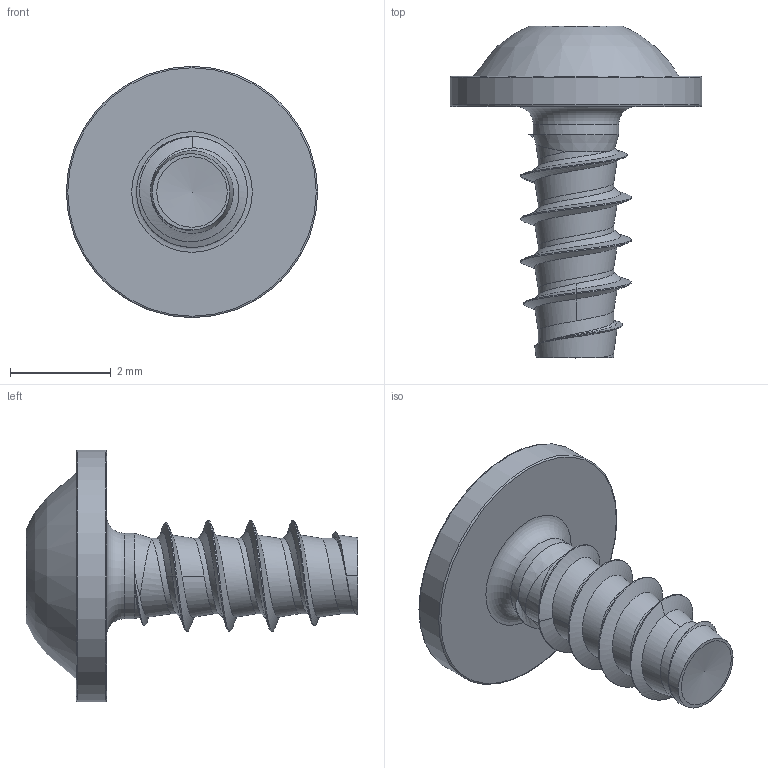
import cadquery as cq
import math

FLANGE_RADIUS = 2.5
FLANGE_THICKNESS = 0.6
FLANGE_EDGE_FILLET = 0.03
DOME_HEIGHT = 1.0
DOME_BASE_RADIUS = 2.05
DOME_TOP_RADIUS = 0.93
DOME_RADIUS = 2.35

SHANK_LENGTH = 5.0
COLLAR_RADIUS = 0.85
COLLAR_LENGTH = 0.56
NECK_FILLET = 0.35
CORE_RADIUS = 0.75
COLLAR_TAPER_LENGTH = 0.34
TIP_RECESS_RADIUS = 0.70
TIP_RECESS_DEPTH = 0.06

PITCH = 0.846
CREST_START_DEPTH = 0.54
CREST_RADIUS = 1.1
CREST_HALF_WIDTH = 0.012
KINK_RADIUS = 0.89
KINK_OFFSET = 0.075
HEAD_FOOT_OFFSET = 0.19
TIP_FOOT_OFFSET = 0.115
TIP_FOOT_RADIUS = 0.82
ROOT_TAPER_END = 0.55
BURIED_DEPTH = 0.01
STRETCH_STEPS = 24

FADE_IN_START = -0.75
FULL_HEIGHT_START = 1.0
FULL_HEIGHT_END = 3.75
FADE_OUT_END = 5.0
LAST_TURN = 5.25
SMALLEST_HEIGHT = 0.03

MIDDLE_TURN = (FULL_HEIGHT_START + FULL_HEIGHT_END) / 2
STRETCH_ENDS = [
    FADE_IN_START,
    FULL_HEIGHT_START,
    MIDDLE_TURN,
    FULL_HEIGHT_END,
    FADE_OUT_END,
    LAST_TURN,
]


def revolve_about_axis(profile):
    """Close a half section and turn it about the screw axis."""
    return profile.close().revolve(360, (0, 0, 0), (0, 1, 0))


def head():
    """Domed head with a flat top, standing on a round flange."""
    flange = cq.Workplane("XZ").circle(FLANGE_RADIUS).extrude(-FLANGE_THICKNESS)
    flange = flange.edges().fillet(FLANGE_EDGE_FILLET)

    top = FLANGE_THICKNESS + DOME_HEIGHT
    dome = cq.Workplane("XY").lineTo(DOME_BASE_RADIUS, 0).lineTo(DOME_BASE_RADIUS, FLANGE_THICKNESS)
    dome = dome.radiusArc((DOME_TOP_RADIUS, top), -DOME_RADIUS).lineTo(0, top)
    return flange.union(revolve_about_axis(dome))


def shank():
    """Collar with a neck fillet, a short taper and the core down to the recessed tip."""
    neck_radius = COLLAR_RADIUS + NECK_FILLET
    profile = (
        cq.Workplane("XY")
        .moveTo(0, FLANGE_THICKNESS / 2)
        .lineTo(neck_radius, FLANGE_THICKNESS / 2)
        .lineTo(neck_radius, 0)
        .radiusArc((COLLAR_RADIUS, -NECK_FILLET), -NECK_FILLET)
        .lineTo(COLLAR_RADIUS, -COLLAR_LENGTH)
        .lineTo(CORE_RADIUS, -COLLAR_LENGTH - COLLAR_TAPER_LENGTH)
        .lineTo(CORE_RADIUS, -SHANK_LENGTH)
        .lineTo(0, -SHANK_LENGTH)
    )
    return revolve_about_axis(profile)


def tip_recess():
    """Shallow cone sunk into the tip."""
    profile = (
        cq.Workplane("XY")
        .moveTo(0, -SHANK_LENGTH)
        .lineTo(TIP_RECESS_RADIUS, -SHANK_LENGTH)
        .lineTo(0, -SHANK_LENGTH + TIP_RECESS_DEPTH)
    )
    return revolve_about_axis(profile)


def thread_height(turn):
    """Fraction of the full ridge height: it fades in at the collar and out near the tip."""
    fade_in = (turn - FADE_IN_START) / (FULL_HEIGHT_START - FADE_IN_START)
    fade_out = (FADE_OUT_END - turn) / (FADE_OUT_END - FULL_HEIGHT_END)
    return max(SMALLEST_HEIGHT, min(1.0, fade_in, fade_out))


def root_height(turn):
    """Fraction of the full root height: the tapered root fades out over the last stretch."""
    return min(1.0, (LAST_TURN - turn) / (LAST_TURN - FADE_OUT_END))


def thread_corners(turn):
    """Corners of the thread section as (radius, offset from the crest towards the tip)."""
    height = thread_height(turn)
    buried_radius = CORE_RADIUS - BURIED_DEPTH
    kink_radius = CORE_RADIUS + (KINK_RADIUS - CORE_RADIUS) * height
    foot_radius = CORE_RADIUS + (TIP_FOOT_RADIUS - CORE_RADIUS) * root_height(turn)
    crest_radius = foot_radius + (CREST_RADIUS - foot_radius) * height
    taper_slope = (ROOT_TAPER_END - TIP_FOOT_OFFSET) / (TIP_FOOT_RADIUS - CORE_RADIUS)
    return [
        (buried_radius, -HEAD_FOOT_OFFSET * height - BURIED_DEPTH),
        (kink_radius, -KINK_OFFSET * height),
        (crest_radius, -CREST_HALF_WIDTH * height),
        (crest_radius, CREST_HALF_WIDTH * height),
        (foot_radius, TIP_FOOT_OFFSET * height),
        (buried_radius, ROOT_TAPER_END + BURIED_DEPTH * taper_slope),
    ]


def thread_section(turn):
    """Corners of the thread section placed in space."""
    angle = 2 * math.pi * turn
    crest_y = -CREST_START_DEPTH - PITCH * turn
    return [
        cq.Vector(-radius * math.cos(angle), crest_y - offset, -radius * math.sin(angle))
        for radius, offset in thread_corners(turn)
    ]


def thread():
    """Helical ridge and its tapered root, trimmed to the stretch between collar and tip."""
    faces = []
    for start, end in zip(STRETCH_ENDS, STRETCH_ENDS[1:]):
        turns = [start + (end - start) * i / STRETCH_STEPS for i in range(STRETCH_STEPS + 1)]
        edges = [cq.Edge.makeSpline(list(points)) for points in zip(*map(thread_section, turns))]
        faces += [cq.Face.makeRuledSurface(edge, edges[i - 1]) for i, edge in enumerate(edges)]
    for turn in (FADE_IN_START, LAST_TURN):
        faces.append(cq.Face.makeFromWires(cq.Wire.makePolygon(thread_section(turn), close=True)))
    ridge = cq.Workplane(cq.Solid.makeSolid(cq.Shell.makeShell(faces)))

    limits = (
        cq.Workplane("XZ", origin=(0, -COLLAR_LENGTH, 0))
        .circle(FLANGE_RADIUS)
        .extrude(SHANK_LENGTH - COLLAR_LENGTH)
    )
    return ridge.intersect(limits)


result = head().union(shank()).union(thread()).cut(tip_recess())